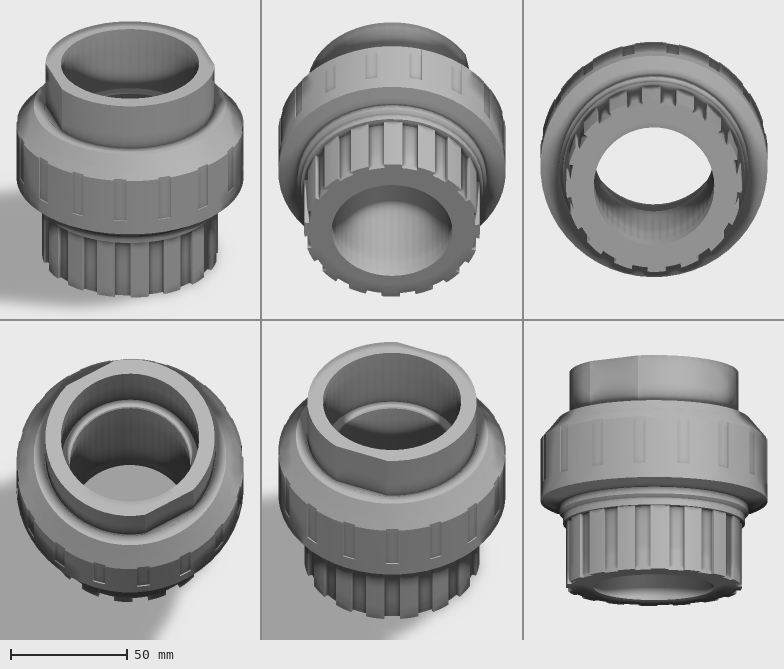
import cadquery as cq


TOTAL_HEIGHT = 94.5
COLLAR_BOTTOM = 28.0
NUT_BOTTOM = 35.5
NUT_BAND_BOTTOM = 38.0
GRIP_BOTTOM = 44.5
JOINT_HEIGHT = 56.0
FLANGE_TOP = 61.5
NUT_BAND_TOP = 64.5
SOCKET_FLOOR = 65.0
NUT_TOP = 73.5

BORE_DIAMETER = 52.0

GRIP_END_DIAMETER = 75.8
COLLAR_DIAMETER = 78.58
THREAD_DIAMETER = 81.53
THREAD_BOTTOM = 32.6
FLUTE_COUNT = 16
FLUTE_WIDTH = 6.8
FLUTE_DEPTH = 1.9

FLANGE_DIAMETER = 78.4
NECK_DIAMETER = 74.0
SOCKET_OUTER_DIAMETER = 73.0
SOCKET_DIAMETER = 59.61
ACROSS_FLATS = 69.0
BORE_CHAMFER = 0.5

NUT_DIAMETER = 98.0
NUT_END_DIAMETER = 83.0
NUT_OPENING_DIAMETER = 74.1
GRIP_COUNT = 16
GRIP_WIDTH = 5.4
GRIP_DEPTH = 0.5

CUTTER_OVERRUN = 1.0


def disc(diameter, bottom, top):
    """Solid cylinder on the Z axis between two heights."""
    return cq.Workplane("XY").workplane(offset=bottom).circle(diameter / 2).extrude(top - bottom)


def edge_slots(count, width, floor_diameter, outer_diameter, bottom, top):
    """Cutters for straight slots, evenly spaced around Z, with a round floor."""
    reach = outer_diameter / 2 + CUTTER_OVERRUN
    cutters = []
    for index in range(count):
        bar = (
            cq.Workplane("XY")
            .workplane(offset=bottom)
            .center(reach / 2, 0)
            .rect(reach, width)
            .extrude(top - bottom)
            .rotate((0, 0, 0), (0, 0, 1), index * 360 / count)
        )
        cutters.append(bar.cut(disc(floor_diameter, bottom, top)))
    return cutters


def cut_all(body, cutters):
    """Remove every cutter from the body."""
    for cutter in cutters:
        body = body.cut(cutter)
    return body


def revolve_profile(points):
    """Turn a closed (radius, height) outline about the Z axis."""
    return cq.Workplane("XZ").polyline(points).close().revolve(360, (0, 0, 0), (0, 1, 0))


def make_lower_end():
    bore = BORE_DIAMETER / 2
    grip = GRIP_END_DIAMETER / 2
    collar = COLLAR_DIAMETER / 2
    thread = THREAD_DIAMETER / 2
    body = revolve_profile([
        (bore, 0),
        (grip, 0),
        (grip, COLLAR_BOTTOM),
        (collar, COLLAR_BOTTOM),
        (collar, THREAD_BOTTOM - (thread - collar)),
        (thread, THREAD_BOTTOM),
        (thread, JOINT_HEIGHT),
        (bore, JOINT_HEIGHT),
    ])
    flute_floor = GRIP_END_DIAMETER - 2 * FLUTE_DEPTH
    flutes = edge_slots(FLUTE_COUNT, FLUTE_WIDTH, flute_floor, GRIP_END_DIAMETER, 0, COLLAR_BOTTOM)
    return cut_all(body, flutes)


def make_upper_end():
    bore = BORE_DIAMETER / 2
    flange = FLANGE_DIAMETER / 2
    neck = NECK_DIAMETER / 2
    socket = SOCKET_DIAMETER / 2
    base = revolve_profile([
        (bore, JOINT_HEIGHT),
        (flange, JOINT_HEIGHT),
        (flange, FLANGE_TOP),
        (neck, FLANGE_TOP),
        (neck, NUT_TOP),
        (socket, NUT_TOP),
        (socket, SOCKET_FLOOR),
        (bore + BORE_CHAMFER, SOCKET_FLOOR),
        (bore, SOCKET_FLOOR - BORE_CHAMFER),
    ])
    wrench_slab = (
        cq.Workplane("XY")
        .workplane(offset=NUT_TOP)
        .rect(SOCKET_OUTER_DIAMETER, ACROSS_FLATS)
        .extrude(TOTAL_HEIGHT - NUT_TOP)
    )
    socket_wall = disc(SOCKET_OUTER_DIAMETER, NUT_TOP, TOTAL_HEIGHT).intersect(wrench_slab)
    socket_wall = socket_wall.cut(disc(SOCKET_DIAMETER, NUT_TOP, TOTAL_HEIGHT))
    return base.union(socket_wall)


def make_nut():
    thread = THREAD_DIAMETER / 2
    end = NUT_END_DIAMETER / 2
    band = NUT_DIAMETER / 2
    opening = NUT_OPENING_DIAMETER / 2
    body = revolve_profile([
        (thread, NUT_BOTTOM),
        (end, NUT_BOTTOM),
        (band, NUT_BAND_BOTTOM),
        (band, NUT_BAND_TOP),
        (end, NUT_TOP),
        (opening, NUT_TOP),
        (opening, FLANGE_TOP),
        (thread, FLANGE_TOP),
    ])
    grip_floor = NUT_DIAMETER - 2 * GRIP_DEPTH
    grips = edge_slots(GRIP_COUNT, GRIP_WIDTH, grip_floor, NUT_DIAMETER, GRIP_BOTTOM, NUT_TOP)
    return cut_all(body, grips)


lower_end = make_lower_end()
upper_end = make_upper_end()
nut = make_nut()

result = cq.Compound.makeCompound([lower_end.val(), upper_end.val(), nut.val()])